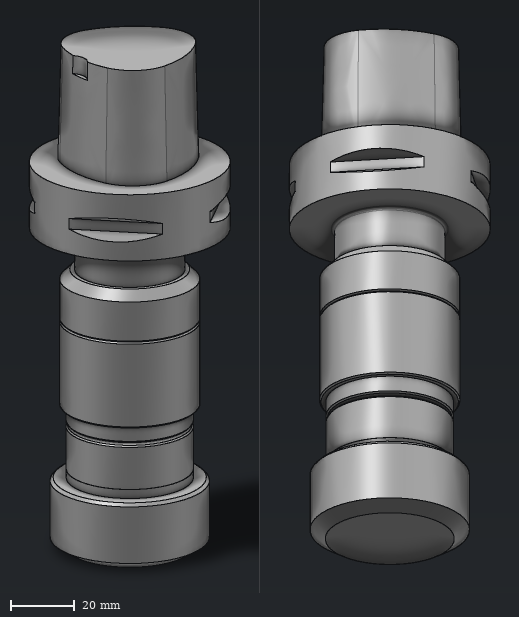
import cadquery as cq
import math


SHANK_LENGTH = 38.0
SHANK_TAPER = 1 / 20
SHANK_INSET = SHANK_LENGTH * SHANK_TAPER / 2
LOBE_REACH = 23.25
FLANK_REACH = 20.3
FLANK_RADIUS = 36.6
LOBE_COUNT = 3

NOTCH_DEPTH_Z = 6.0
NOTCH_RADIUS = 6.0
NOTCH_FLOOR_Y = -17.8

FLANGE_DIAMETER = 63.0
FLANGE_THICKNESS = 22.0
SLOT_COUNT = 4
SLOT_CENTRE_Z = -11.9
SLOT_FLOOR_DISTANCE = 27.8
SLOT_FLOOR_HEIGHT = 3.5
SLOT_WALL_ANGLE = 30.0
SLOT_OVERRUN = 1.0

NECK_DIAMETER = 34.6
UPPER_SLEEVE_DIAMETER = 43.99
LOWER_SLEEVE_DIAMETER = 44.03
COLLAR_DIAMETER = 40.01
GROOVE_DIAMETER = 33.92
RELIEF_DIAMETER = 39.88
NUT_DIAMETER = 50.0
NUT_FACE_DIAMETER = 40.39

NECK_END_Z = -35.8
SLEEVE_JOINT_Z = -52.5
SLEEVE_END_Z = -81.0
GROOVE_TOP_Z = -86.5
GROOVE_BOTTOM_Z = -87.5
COLLAR_END_Z = -102.0
NUT_TOP_Z = -105.0
BODY_END_Z = -127.8

NECK_FILLET = 1.0
SLEEVE_TOP_CHAMFER = 3.2
EDGE_CHAMFER = 0.5
NUT_TOP_CHAMFER = 1.0
NUT_NOSE_ANGLE = 32.0


def polar_point(radius, degrees):
    """Point at a distance from the axis, at an angle turned from -Y."""
    angle = math.radians(degrees - 90)
    return (radius * math.cos(angle), radius * math.sin(angle))


def shank_outline(inset, level):
    """Tangent flank and lobe arcs, offset inwards by inset; one flank faces -Y."""
    flank_offset = FLANK_RADIUS - FLANK_REACH
    reach_step = LOBE_REACH - FLANK_REACH
    lobe_offset = reach_step * (2 * flank_offset - reach_step) / (flank_offset - 2 * reach_step)

    half_pitch = math.pi / LOBE_COUNT
    tangent_angle = math.atan2(
        lobe_offset * math.sin(half_pitch),
        flank_offset + lobe_offset * math.cos(half_pitch),
    )
    flank_radius = FLANK_RADIUS - inset
    seam_x = flank_radius * math.sin(tangent_angle)
    seam_y = flank_radius * math.cos(tangent_angle) - flank_offset
    seam_radius = math.hypot(seam_x, seam_y)
    seam_degrees = math.degrees(math.atan2(seam_x, seam_y))

    pitch = 360 / LOBE_COUNT
    outline = cq.Workplane("XY", origin=(0, 0, level)).moveTo(*polar_point(seam_radius, -seam_degrees))
    for index in range(LOBE_COUNT):
        middle = index * pitch
        outline = outline.threePointArc(
            polar_point(FLANK_REACH - inset, middle),
            polar_point(seam_radius, middle + seam_degrees),
        )
        outline = outline.threePointArc(
            polar_point(LOBE_REACH - inset, middle + pitch / 2),
            polar_point(seam_radius, middle + pitch - seam_degrees),
        )
    return outline.close().val()


def make_shank():
    base = shank_outline(0, 0)
    top = shank_outline(SHANK_INSET, SHANK_LENGTH)
    return cq.Workplane(obj=cq.Solid.makeLoft([base, top], True))


def make_notch_cutter():
    return (
        cq.Workplane("XY", origin=(0, 0, SHANK_LENGTH - NOTCH_DEPTH_Z))
        .center(0, NOTCH_FLOOR_Y - NOTCH_RADIUS)
        .circle(NOTCH_RADIUS)
        .extrude(NOTCH_DEPTH_Z)
    )


def make_body():
    """Flange, neck, sleeves, collar and nut as one revolved half section."""
    flange_r = FLANGE_DIAMETER / 2
    neck_r = NECK_DIAMETER / 2
    upper_r = UPPER_SLEEVE_DIAMETER / 2
    lower_r = LOWER_SLEEVE_DIAMETER / 2
    collar_r = COLLAR_DIAMETER / 2
    groove_r = GROOVE_DIAMETER / 2
    relief_r = RELIEF_DIAMETER / 2
    nut_r = NUT_DIAMETER / 2
    nut_face_r = NUT_FACE_DIAMETER / 2

    joint_r = upper_r - EDGE_CHAMFER
    nose_height = (nut_r - nut_face_r) * math.tan(math.radians(NUT_NOSE_ANGLE))
    fillet_mid = NECK_FILLET * (1 - math.sqrt(0.5))

    section = (
        cq.Workplane("XZ")
        .moveTo(0, 0)
        .lineTo(flange_r, 0)
        .lineTo(flange_r, -FLANGE_THICKNESS)
        .lineTo(neck_r + NECK_FILLET, -FLANGE_THICKNESS)
        .threePointArc(
            (neck_r + fillet_mid, -FLANGE_THICKNESS - fillet_mid),
            (neck_r, -FLANGE_THICKNESS - NECK_FILLET),
        )
        .lineTo(neck_r, NECK_END_Z)
        .lineTo(upper_r - SLEEVE_TOP_CHAMFER, NECK_END_Z)
        .lineTo(upper_r, NECK_END_Z - SLEEVE_TOP_CHAMFER)
        .lineTo(upper_r, SLEEVE_JOINT_Z + EDGE_CHAMFER)
        .lineTo(joint_r, SLEEVE_JOINT_Z)
        .lineTo(lower_r, SLEEVE_JOINT_Z - EDGE_CHAMFER)
        .lineTo(lower_r, SLEEVE_END_Z + EDGE_CHAMFER)
        .lineTo(lower_r - EDGE_CHAMFER, SLEEVE_END_Z)
        .lineTo(collar_r, SLEEVE_END_Z)
        .lineTo(collar_r, GROOVE_TOP_Z + EDGE_CHAMFER)
        .lineTo(collar_r - EDGE_CHAMFER, GROOVE_TOP_Z)
        .lineTo(groove_r, GROOVE_TOP_Z)
        .lineTo(groove_r, GROOVE_BOTTOM_Z)
        .lineTo(collar_r - EDGE_CHAMFER, GROOVE_BOTTOM_Z)
        .lineTo(collar_r, GROOVE_BOTTOM_Z - EDGE_CHAMFER)
        .lineTo(collar_r, COLLAR_END_Z)
        .lineTo(relief_r, COLLAR_END_Z)
        .lineTo(relief_r, NUT_TOP_Z)
        .lineTo(nut_r - NUT_TOP_CHAMFER, NUT_TOP_Z)
        .lineTo(nut_r, NUT_TOP_Z - NUT_TOP_CHAMFER)
        .lineTo(nut_r, BODY_END_Z + nose_height)
        .lineTo(nut_face_r, BODY_END_Z)
        .lineTo(0, BODY_END_Z)
        .close()
    )
    return section.revolve(360, (0, 0), (0, 1))


def make_slot_cutter():
    """Trapezoidal bar across the +X side, opening outwards past the flange rim."""
    outer = FLANGE_DIAMETER / 2 + SLOT_OVERRUN
    floor_half = SLOT_FLOOR_HEIGHT / 2
    mouth_half = floor_half + (outer - SLOT_FLOOR_DISTANCE) * math.tan(math.radians(SLOT_WALL_ANGLE))
    return (
        cq.Workplane("XZ")
        .moveTo(SLOT_FLOOR_DISTANCE, SLOT_CENTRE_Z - floor_half)
        .lineTo(outer, SLOT_CENTRE_Z - mouth_half)
        .lineTo(outer, SLOT_CENTRE_Z + mouth_half)
        .lineTo(SLOT_FLOOR_DISTANCE, SLOT_CENTRE_Z + floor_half)
        .close()
        .extrude(FLANGE_DIAMETER / 2, both=True)
    )


def cut_slots(body):
    pitch = 360 / SLOT_COUNT
    for index in range(SLOT_COUNT):
        angle = pitch / 2 + index * pitch
        body = body.cut(make_slot_cutter().rotate((0, 0, 0), (0, 0, 1), angle))
    return body


shank = make_shank().cut(make_notch_cutter())
result = cut_slots(make_body()).union(shank)